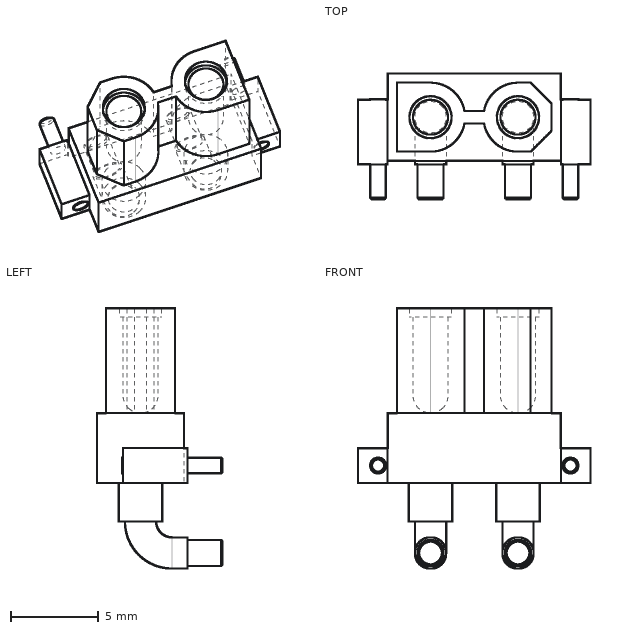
import cadquery as cq
import math


POLE_PITCH = 5.0
POLE_X = POLE_PITCH / 2

BODY_WIDTH = 9.9
BODY_DEPTH = 5.0
BODY_HEIGHT = 4.0

TOWER_HEIGHT = 6.0
TOWER_RADIUS = 1.975
TOWER_HALF_WIDTH = 4.425
KEY_CHAMFER = 1.2
WEB_THICKNESS = 0.7
TOWER_TOP = BODY_HEIGHT + TOWER_HEIGHT

MOUTH_DIAMETER = 2.4
MOUTH_DEPTH = 0.5
BORE_DIAMETER = 2.0
BORE_DEPTH = TOWER_HEIGHT

EAR_SPAN = 13.3
EAR_HEIGHT = 2.0
EAR_BACK_Y = 1.0
PEG_DIAMETER = 0.9
PEG_X = 5.5
PEG_Z = EAR_HEIGHT / 2
PEG_BACK_PROTRUSION = 0.05

SLEEVE_DIAMETER = 2.5
SLEEVE_LENGTH = 2.2
TERMINAL_DIAMETER = 1.8
BEND_RADIUS = 1.8
TAIL_DIAMETER = 1.5
TAIL_Z = -SLEEVE_LENGTH - BEND_RADIUS

SEATING_Y = -2.7
TIP_Y = -4.7
TIP_CHAMFER = 0.1


def rod_along_y(diameter, x, z, back_y, front_y):
    """Round rod parallel to Y, from back_y forward (towards -Y) to front_y."""
    plane = cq.Plane(origin=(x, back_y, z), xDir=(1, 0, 0), normal=(0, -1, 0))
    return cq.Workplane(plane).circle(diameter / 2).extrude(back_y - front_y)


def make_body():
    return cq.Workplane("XY").box(BODY_WIDTH, BODY_DEPTH, BODY_HEIGHT, centered=(True, True, False))


def make_tower():
    """Square-backed pole and chamfered pole, joined by a thin web."""
    web_half = WEB_THICKNESS / 2
    arc_reach = math.sqrt(TOWER_RADIUS**2 - web_half**2)
    arc_mid = TOWER_RADIUS * math.sqrt(0.5)
    left_neck = -POLE_X + arc_reach
    right_neck = POLE_X - arc_reach
    chamfer_x = TOWER_HALF_WIDTH - KEY_CHAMFER
    chamfer_y = TOWER_RADIUS - KEY_CHAMFER
    return (
        cq.Workplane("XY", origin=(0, 0, BODY_HEIGHT))
        .moveTo(-TOWER_HALF_WIDTH, -TOWER_RADIUS)
        .lineTo(-POLE_X, -TOWER_RADIUS)
        .threePointArc((-POLE_X + arc_mid, -arc_mid), (left_neck, -web_half))
        .lineTo(right_neck, -web_half)
        .threePointArc((POLE_X - arc_mid, -arc_mid), (POLE_X, -TOWER_RADIUS))
        .lineTo(chamfer_x, -TOWER_RADIUS)
        .lineTo(TOWER_HALF_WIDTH, -chamfer_y)
        .lineTo(TOWER_HALF_WIDTH, chamfer_y)
        .lineTo(chamfer_x, TOWER_RADIUS)
        .lineTo(POLE_X, TOWER_RADIUS)
        .threePointArc((POLE_X - arc_mid, arc_mid), (right_neck, web_half))
        .lineTo(left_neck, web_half)
        .threePointArc((-POLE_X + arc_mid, arc_mid), (-POLE_X, TOWER_RADIUS))
        .lineTo(-TOWER_HALF_WIDTH, TOWER_RADIUS)
        .close()
        .extrude(TOWER_HEIGHT)
    )


def make_socket_cut(x):
    """Void of one socket, measured down from the tower top."""
    bore_radius = BORE_DIAMETER / 2
    straight_depth = BORE_DEPTH - bore_radius
    top = cq.Workplane("XY", origin=(x, 0, TOWER_TOP))
    mouth = top.circle(MOUTH_DIAMETER / 2).extrude(-MOUTH_DEPTH)
    bore = top.circle(bore_radius).extrude(-straight_depth)
    floor = cq.Workplane("XY", origin=(x, 0, TOWER_TOP - straight_depth)).sphere(bore_radius)
    return mouth.union(bore).union(floor)


def make_ear(side):
    """Ear on the given side (-1 or +1), with its locating peg."""
    ear_width = (EAR_SPAN - BODY_WIDTH) / 2
    ear_depth = EAR_BACK_Y - SEATING_Y
    center_x = side * (BODY_WIDTH + ear_width) / 2
    center_y = (EAR_BACK_Y + SEATING_Y) / 2
    ear = (
        cq.Workplane("XY", origin=(center_x, center_y, 0))
        .box(ear_width, ear_depth, EAR_HEIGHT, centered=(True, True, False))
    )
    peg_back_y = EAR_BACK_Y + PEG_BACK_PROTRUSION
    peg = rod_along_y(PEG_DIAMETER, side * PEG_X, PEG_Z, peg_back_y, TIP_Y)
    return ear.union(peg.faces("<Y").chamfer(TIP_CHAMFER))


def make_terminal(x):
    """Sleeve below the body, a quarter bend towards -Y, a collar and a tail."""
    sleeve = cq.Workplane("XY", origin=(x, 0, 0)).circle(SLEEVE_DIAMETER / 2).extrude(-SLEEVE_LENGTH)
    bend = (
        cq.Workplane("XY", origin=(x, 0, -SLEEVE_LENGTH))
        .circle(TERMINAL_DIAMETER / 2)
        .revolve(90, (1, -BEND_RADIUS, 0), (0, -BEND_RADIUS, 0))
    )
    collar = rod_along_y(TERMINAL_DIAMETER, x, TAIL_Z, -BEND_RADIUS, SEATING_Y)
    tail = rod_along_y(TAIL_DIAMETER, x, TAIL_Z, SEATING_Y, TIP_Y)
    return sleeve.union(bend).union(collar).union(tail.faces("<Y").chamfer(TIP_CHAMFER))


result = make_body().union(make_tower())
for side in (-1, 1):
    result = result.union(make_ear(side))
    result = result.union(make_terminal(side * POLE_X))
    result = result.cut(make_socket_cut(side * POLE_X))